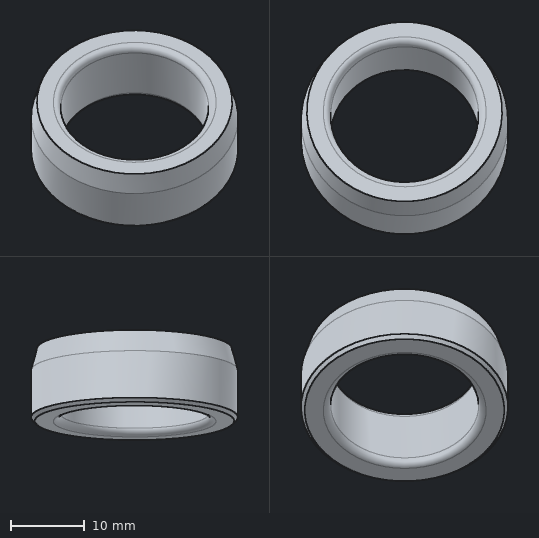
import cadquery as cq
import math

outer_diameter = 28.0
bore_diameter = 20.0
height = 10.0
taper_height = 3.0
taper_angle = 15.0
bottom_chamfer = 0.5
bore_fillet = 1.0

outer_radius = outer_diameter / 2
top_radius = outer_radius - taper_height * math.tan(math.radians(taper_angle))


def ring_body():
    """Solid of revolution with a tapered top and a chamfered bottom edge."""
    outline = [
        (0, 0),
        (outer_radius - bottom_chamfer, 0),
        (outer_radius, bottom_chamfer),
        (outer_radius, height - taper_height),
        (top_radius, height),
        (0, height),
    ]
    return cq.Workplane("XZ").polyline(outline).close().revolve(360, (0, 0), (0, 1))


def cut_bore(body):
    """Through bore with both rims rounded."""
    bored = body.faces(">Z").workplane().hole(bore_diameter)
    for end_face in (">Z", "<Z"):
        rim = bored.faces(end_face).edges(cq.selectors.RadiusNthSelector(0))
        bored = rim.fillet(bore_fillet)
    return bored


result = cut_bore(ring_body())